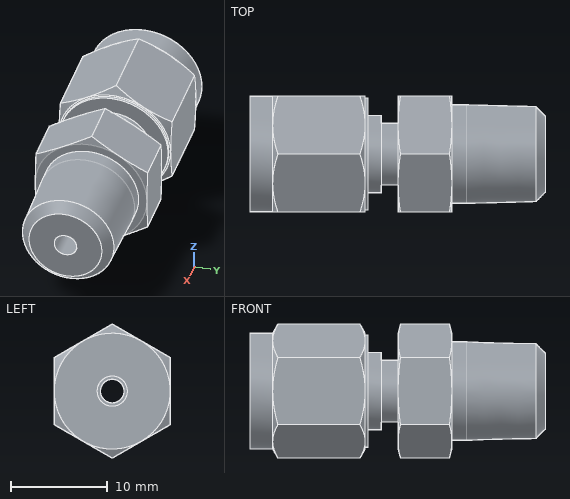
import cadquery as cq
import math

TOTAL_LENGTH = 30.5
HEX_ACROSS_FLATS = 12.0
HEX_FACE_RADIUS = 5.98
CONE_CLEARANCE = 0.3

COLLAR_RADIUS = HEX_FACE_RADIUS
NUT_HEX_START = 2.35
NUT_HEX_END = 11.9
NUT_CHAMFER_ANGLE = 30.0
WASHER_FACE_RADIUS = 5.8
WASHER_FACE_END = 12.2

SHOULDER_RADIUS = 4.0
SHOULDER_END = 13.57
NECK_RADIUS = 3.2

BODY_HEX_START = 15.28
BODY_HEX_END = 20.83
BODY_CHAMFER_ANGLE = 15.0

THREAD_RADIUS = 5.1
TAPER_START = 22.35
TAPER_END_RADIUS = 4.9
TIP_CHAMFER_LENGTH = 1.0
TIP_CHAMFER_ANGLE = 45.0

BORE_DIAMETER = 2.4
TUBE_SOCKET_DIAMETER = 3.1
TUBE_SOCKET_DEPTH = 12.7

HEX_CORNER_RADIUS = HEX_ACROSS_FLATS / 2 / math.cos(math.radians(30))


def revolve_about_x(outline):
    """Revolve an (x, radius) outline, closed along the axis, around X."""
    return cq.Workplane("XY").polyline(outline).close().revolve(360, (0, 0, 0), (1, 0, 0))


def cylinder(start, end, radius):
    return cq.Workplane("YZ", origin=(start, 0, 0)).circle(radius).extrude(end - start)


def chamfered_hexagon(start, end, chamfer_angle):
    """Hexagon with corners on +-Z, its corners coned off at both ends."""
    prism = (
        cq.Workplane("YZ", origin=(start, 0, 0))
        .transformed(rotate=(0, 0, 90))
        .polygon(6, 2 * HEX_CORNER_RADIUS)
        .extrude(end - start)
    )
    envelope_radius = HEX_CORNER_RADIUS + CONE_CLEARANCE
    setback = (envelope_radius - HEX_FACE_RADIUS) * math.tan(math.radians(chamfer_angle))
    envelope = revolve_about_x([
        (start, 0),
        (start, HEX_FACE_RADIUS),
        (start + setback, envelope_radius),
        (end - setback, envelope_radius),
        (end, HEX_FACE_RADIUS),
        (end, 0),
    ])
    return prism.intersect(envelope)


def union_nut():
    collar = cylinder(0, NUT_HEX_START, COLLAR_RADIUS)
    hexagon = chamfered_hexagon(NUT_HEX_START, NUT_HEX_END, NUT_CHAMFER_ANGLE)
    washer_face = cylinder(NUT_HEX_END, WASHER_FACE_END, WASHER_FACE_RADIUS)
    return collar.union(hexagon).union(washer_face)


def neck():
    shoulder = cylinder(WASHER_FACE_END, SHOULDER_END, SHOULDER_RADIUS)
    return shoulder.union(cylinder(SHOULDER_END, BODY_HEX_START, NECK_RADIUS))


def male_thread():
    taper_end = TOTAL_LENGTH - TIP_CHAMFER_LENGTH
    tip_radius = TAPER_END_RADIUS - TIP_CHAMFER_LENGTH * math.tan(math.radians(TIP_CHAMFER_ANGLE))
    return revolve_about_x([
        (BODY_HEX_END, 0),
        (BODY_HEX_END, THREAD_RADIUS),
        (TAPER_START, THREAD_RADIUS),
        (taper_end, TAPER_END_RADIUS),
        (TOTAL_LENGTH, tip_radius),
        (TOTAL_LENGTH, 0),
    ])


body_hexagon = chamfered_hexagon(BODY_HEX_START, BODY_HEX_END, BODY_CHAMFER_ANGLE)
bore = cylinder(0, TOTAL_LENGTH, BORE_DIAMETER / 2)
tube_socket = cylinder(0, TUBE_SOCKET_DEPTH, TUBE_SOCKET_DIAMETER / 2)

result = (
    union_nut()
    .union(neck())
    .union(body_hexagon)
    .union(male_thread())
    .cut(bore)
    .cut(tube_socket)
)